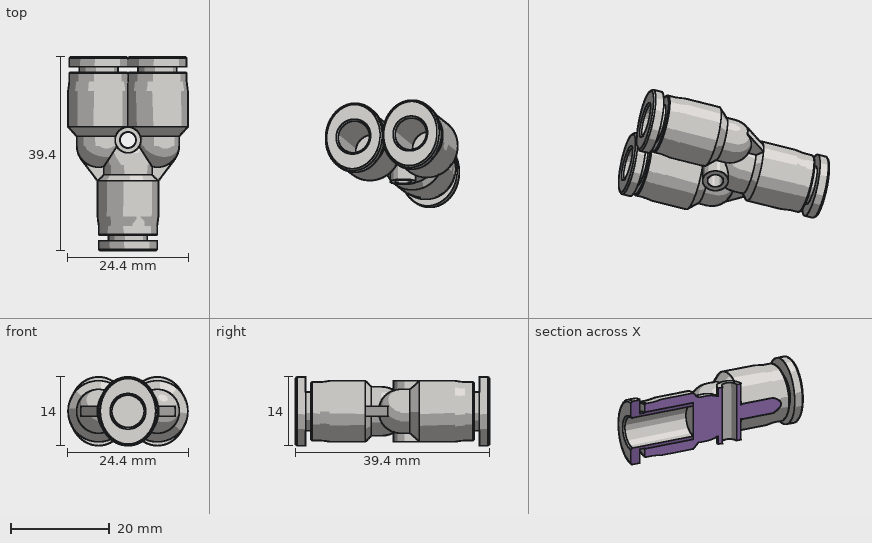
import cadquery as cq
import math

length = 39.4
port_spacing = 11.95

barrel_radius = 12.4 / 2
mouth_radius = 11.9 / 2
mouth_depth = 3.15
mouth_chamfer = 0.25
taper_start_depth = 5.05
taper_end_depth = 6.97
shoulder_depth = 14.22

single_nose_radius = 10.0 / 2
single_cone_end_depth = 15.4
single_dome_depth = 17.45
twin_nose_radius = 8.9 / 2
twin_cone_end_depth = 16.15
twin_dome_depth = 18.1

boss_diameter = 5.2
boss_hole_diameter = 3.2
boss_y = 22.5

web_thickness = 2.0
web_tip_x = 9.6
web_tip_y = 18.7

flange_width = 11.9
flange_height = 14.0
flange_thickness = 2.1
edge_chamfer = 0.35
neck_diameter = 7.9
bore_diameter = 6.55


def at_twin_port(body, side):
    """Move a body made for the single port to a twin port; side is -1 or 1."""
    return body.mirror("XZ").translate((side * port_spacing / 2, length, 0))


def make_branch(nose_radius, cone_end_depth, dome_depth):
    """Barrel with a tapered mouth, a conical shoulder and a hemispherical nose."""
    arc_offset = nose_radius * math.sqrt(0.5)
    return (
        cq.Workplane("XY")
        .moveTo(0, mouth_depth)
        .lineTo(mouth_radius - mouth_chamfer, mouth_depth)
        .lineTo(mouth_radius, mouth_depth + mouth_chamfer)
        .lineTo(mouth_radius, taper_start_depth)
        .lineTo(barrel_radius, taper_end_depth)
        .lineTo(barrel_radius, shoulder_depth)
        .lineTo(nose_radius, cone_end_depth)
        .lineTo(nose_radius, dome_depth)
        .threePointArc((arc_offset, dome_depth + arc_offset), (0, dome_depth + nose_radius))
        .close()
        .revolve(360, (0, 0, 0), (0, 1, 0))
    )


def make_socket():
    """Blind recess that holds the neck of a sleeve."""
    return cq.Workplane("XZ").circle(neck_diameter / 2).extrude(-shoulder_depth)


def make_web(side):
    """Flat web from the single barrel's shoulder to the side of a twin dome."""
    dome_y = length - twin_dome_depth
    return (
        cq.Workplane("XY")
        .moveTo(0, shoulder_depth - web_thickness)
        .lineTo(side * barrel_radius, shoulder_depth)
        .lineTo(side * web_tip_x, web_tip_y)
        .lineTo(side * port_spacing / 2, dome_y)
        .lineTo(0, dome_y)
        .close()
        .extrude(web_thickness / 2, both=True)
    )


def make_boss_cylinder(diameter):
    return (
        cq.Workplane("XY")
        .center(0, boss_y)
        .circle(diameter / 2)
        .extrude(barrel_radius, both=True)
    )


def make_housing():
    """Y-shaped body with three sockets and a through hole in the boss."""
    single_branch = make_branch(single_nose_radius, single_cone_end_depth, single_dome_depth)
    twin_branch = make_branch(twin_nose_radius, twin_cone_end_depth, twin_dome_depth)
    housing = make_boss_cylinder(boss_diameter).union(single_branch)
    for side in (-1, 1):
        housing = housing.union(at_twin_port(twin_branch, side))
    for side in (-1, 1):
        housing = housing.union(make_web(side))

    socket = make_socket()
    housing = housing.cut(socket)
    for side in (-1, 1):
        housing = housing.cut(at_twin_port(socket, side))
    return housing.cut(make_boss_cylinder(boss_hole_diameter))


def make_sleeve():
    """Release sleeve: oval flange on a round neck, bored through."""
    flange = (
        cq.Workplane("XZ")
        .ellipse(flange_width / 2, flange_height / 2)
        .extrude(-flange_thickness)
        .faces("<Y")
        .chamfer(edge_chamfer)
    )
    neck = cq.Workplane("XZ").circle(neck_diameter / 2).extrude(-shoulder_depth)
    bore = cq.Workplane("XZ").circle(bore_diameter / 2).extrude(-shoulder_depth)
    lead_in = cq.Workplane(
        cq.Solid.makeCone(
            bore_diameter / 2 + edge_chamfer,
            bore_diameter / 2,
            edge_chamfer,
            pnt=cq.Vector(0, 0, 0),
            dir=cq.Vector(0, 1, 0),
        )
    )
    return flange.union(neck).cut(bore).cut(lead_in)


housing = make_housing()
single_sleeve = make_sleeve()
twin_sleeves = [at_twin_port(single_sleeve, side) for side in (-1, 1)]

bodies = [housing, single_sleeve, *twin_sleeves]
result = cq.Compound.makeCompound([body.solids().val() for body in bodies])